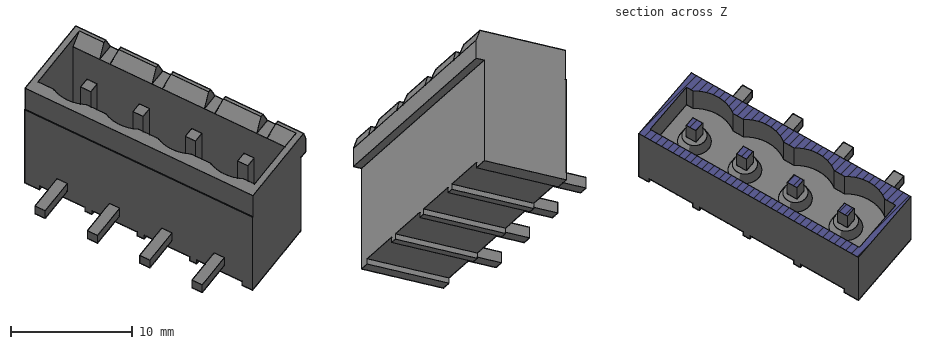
import cadquery as cq

LENGTH = 22.15
HEIGHT = 12.0
BODY_DEPTH = 7.62
FLANGE_BACK = 8.37
FLANGE_HEIGHT = 2.68
FLANGE_SETBACK = 0.07
flange_bottom = HEIGHT - FLANGE_HEIGHT

BEVEL_RUN = 0.35
BEVEL_DROP = 1.0
bevel_bottom = HEIGHT - BEVEL_DROP

CONTACT_COUNT = 4
CONTACT_SPAN = 15.25
FIRST_CONTACT_X = 3.65
CONTACT_Y = 4.18
pitch = CONTACT_SPAN / (CONTACT_COUNT - 1)
contact_xs = [FIRST_CONTACT_X + i * pitch for i in range(CONTACT_COUNT)]

END_WALL = 0.55
CAVITY_FLOOR = 3.59
CAVITY_FRONT = 1.48
CAVITY_BACK = 6.69
LEDGE_FRONT = 1.22
LEDGE_Z = flange_bottom
LEAD_IN_BACK = 7.7
SCALLOP_RADIUS = 3.37
cavity_length = LENGTH - 2 * END_WALL

SLOT_FLOOR_WIDTH = 1.0
SLOT_TOP_WIDTH = 1.45

NOTCH_WIDTH = 4.4
NOTCH_HEIGHT = 0.49

WIRE = 1.0
PIN_TOP = 10.5
LEG_BOTTOM = 1.48
LEG_LENGTH = 3.48
COLLAR_RADIUS = 1.4
COLLAR_TOP_RADIUS = 1.05
COLLAR_HEIGHT = 0.85


def box(x_range, y_range, z_range):
    """Axis-aligned box between the given limits."""
    (x0, x1), (y0, y1), (z0, z1) = x_range, y_range, z_range
    return cq.Workplane("XY").box(x1 - x0, y1 - y0, z1 - z0, centered=False).translate((x0, y0, z0))


def make_housing():
    """Side profile with the overhanging back flange, extruded along X."""
    profile = [
        (0, 0),
        (BODY_DEPTH, 0),
        (BODY_DEPTH, flange_bottom),
        (FLANGE_BACK, flange_bottom),
        (FLANGE_BACK, bevel_bottom),
        (FLANGE_BACK - BEVEL_RUN, HEIGHT),
        (FLANGE_SETBACK, HEIGHT),
        (FLANGE_SETBACK, flange_bottom),
        (0, flange_bottom),
    ]
    return cq.Workplane("YZ").polyline(profile).close().extrude(LENGTH)


def make_cavity():
    """Plug space with a ledge at the front and a sloped lead-in at the back."""
    profile = [
        (CAVITY_FRONT, CAVITY_FLOOR),
        (CAVITY_BACK, CAVITY_FLOOR),
        (CAVITY_BACK, bevel_bottom),
        (LEAD_IN_BACK, HEIGHT),
        (LEDGE_FRONT, HEIGHT),
        (LEDGE_FRONT, LEDGE_Z),
        (CAVITY_FRONT, LEDGE_Z),
    ]
    return cq.Workplane("YZ").workplane(offset=END_WALL).polyline(profile).close().extrude(cavity_length)


def make_scallop(x):
    """Front half of a cylinder around a contact, which hollows the front wall."""
    cylinder = (
        cq.Workplane("XY", origin=(x, CONTACT_Y, CAVITY_FLOOR))
        .circle(SCALLOP_RADIUS)
        .extrude(HEIGHT - CAVITY_FLOOR)
    )
    front_half = box((END_WALL, LENGTH - END_WALL), (0, CONTACT_Y), (CAVITY_FLOOR, HEIGHT))
    return cylinder.intersect(front_half)


def make_latch_slot(x):
    """Flared slot across the back rim."""
    floor_half = SLOT_FLOOR_WIDTH / 2
    top_half = SLOT_TOP_WIDTH / 2
    profile = [
        (x - floor_half, bevel_bottom),
        (x + floor_half, bevel_bottom),
        (x + top_half, HEIGHT),
        (x - top_half, HEIGHT),
    ]
    return (
        cq.Workplane("XZ", origin=(0, FLANGE_BACK, 0))
        .polyline(profile)
        .close()
        .extrude(FLANGE_BACK - CAVITY_BACK)
    )


def make_notch(x):
    """Relief notch running through the full depth of the underside."""
    half = NOTCH_WIDTH / 2
    return box((x - half, x + half), (0, BODY_DEPTH), (0, NOTCH_HEIGHT))


def make_contact(x):
    """Upright pin, forward-pointing leg and conical collar."""
    half = WIRE / 2
    x_range = (x - half, x + half)
    pin_back = CONTACT_Y + half
    pin = box(x_range, (CONTACT_Y - half, pin_back), (LEG_BOTTOM, PIN_TOP))
    leg = box(x_range, (-LEG_LENGTH, pin_back), (LEG_BOTTOM, LEG_BOTTOM + WIRE))
    collar = cq.Workplane("XY").add(
        cq.Solid.makeCone(
            COLLAR_RADIUS,
            COLLAR_TOP_RADIUS,
            COLLAR_HEIGHT,
            pnt=cq.Vector(x, CONTACT_Y, CAVITY_FLOOR),
        )
    )
    return pin.union(leg).union(collar)


result = make_housing().cut(make_cavity())
for contact_x in contact_xs:
    result = result.cut(make_scallop(contact_x))
    result = result.cut(make_latch_slot(contact_x))
    result = result.cut(make_notch(contact_x))
    result = result.union(make_contact(contact_x))